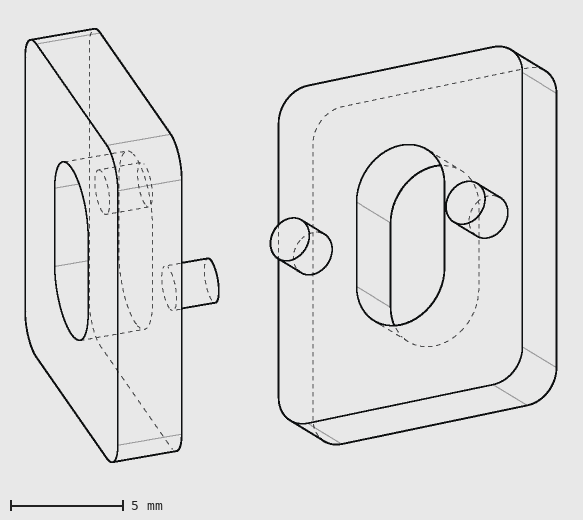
import cadquery as cq

plate_width = 12.5
plate_height = 16.0
plate_thickness = 3.0
corner_radius = 1.5

slot_width = 4.5
slot_length = 8.5

pin_diameter = 2.0
pin_length = 2.0
pin_spacing = 9.0


def make_plate():
    """Rectangular plate with its four corners rounded."""
    blank = cq.Workplane("XY").box(
        plate_width, plate_thickness, plate_height, centered=(True, False, True)
    )
    return blank.edges("|Y").fillet(corner_radius)


def make_slot():
    """Round-ended cutter passing through the plate thickness."""
    return cq.Workplane("XZ").slot2D(slot_length, slot_width, angle=90).extrude(-plate_thickness)


def make_pin(x_position):
    """Pin rooted on the back face and pointing toward +Y."""
    back_face = cq.Workplane("XZ", origin=(x_position, plate_thickness, 0))
    return back_face.circle(pin_diameter / 2).extrude(-pin_length)


result = make_plate().cut(make_slot())
for side in (-1, 1):
    result = result.union(make_pin(side * pin_spacing / 2))